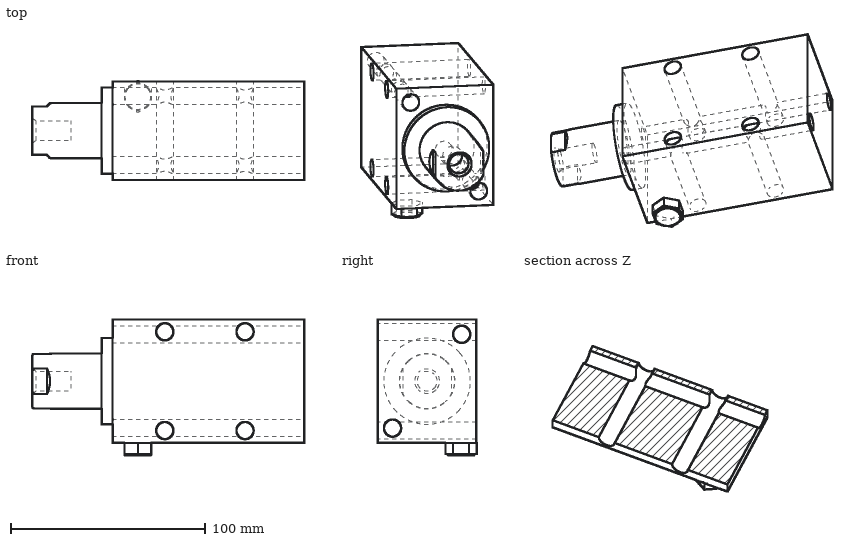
import cadquery as cq
import math

overall_length = 139.95

nose_length = 41.4
body_length = overall_length - nose_length
tip_x = -nose_length
body_width = 50.8
body_height = 63.5

flange_diameter = 44.45
flange_thickness = 5.75

rod_diameter = 28.575
tip_diameter = 28.2
tip_length = 9.0
shoulder_length = 0.9
tip_edge_radius = 1.0

flat_distance = 25.0
flat_length = 7.55

bore_diameter = 10.2
bore_depth = 20.0
mouth_diameter = 12.7
lip_depth = 0.6
cone_diameter = 12.2
cone_length = 1.3

mounting_hole_diameter = 8.73

cross_hole_first_x = 26.8
cross_hole_spacing_x = 41.275
cross_hole_spacing_z = 50.8

corner_hole_inset = 7.62

hex_across_flats = 14.0
plug_height = 6.53
plug_x = 12.95
plug_overhang = 0.14
plug_end_diameter = 13.1
cone_end_height = 0.8


def make_body():
    return cq.Workplane("XY").box(body_length, body_width, body_height, centered=(False, True, True))


def make_flange():
    return cq.Workplane("YZ").circle(flange_diameter / 2).extrude(-flange_thickness)


def make_rod():
    rod_radius = rod_diameter / 2
    tip_radius = tip_diameter / 2
    shoulder_x = tip_x + tip_length
    rod = (
        cq.Workplane("XZ")
        .moveTo(tip_x, 0)
        .lineTo(tip_x, tip_radius - tip_edge_radius)
        .radiusArc((tip_x + tip_edge_radius, tip_radius), tip_edge_radius)
        .lineTo(shoulder_x, tip_radius)
        .lineTo(shoulder_x + shoulder_length, rod_radius)
        .lineTo(0, rod_radius)
        .lineTo(0, 0)
        .close()
        .revolve(360, (0, 0, 0), (1, 0, 0))
    )
    for side in (1, -1):
        rod = rod.cut(make_flat_cutter(side))
    return rod.cut(make_bore())


def make_flat_cutter(side):
    inner_y = flat_distance / 2
    outer_y = rod_diameter / 2
    end_x = tip_x + flat_length
    profile = [
        (tip_x, side * inner_y),
        (end_x, side * inner_y),
        (end_x + outer_y - inner_y, side * outer_y),
        (tip_x, side * outer_y),
    ]
    return cq.Workplane("XY").polyline(profile).close().extrude(rod_diameter / 2, both=True)


def make_bore():
    bore_radius = bore_diameter / 2
    return (
        cq.Workplane("XZ")
        .moveTo(tip_x, 0)
        .lineTo(tip_x, mouth_diameter / 2)
        .lineTo(tip_x + lip_depth, cone_diameter / 2)
        .lineTo(tip_x + lip_depth + cone_length, bore_radius)
        .lineTo(tip_x + bore_depth, bore_radius)
        .lineTo(tip_x + bore_depth, 0)
        .close()
        .revolve(360, (0, 0, 0), (1, 0, 0))
    )


def make_cross_holes():
    centre_x = cross_hole_first_x + cross_hole_spacing_x / 2
    return (
        cq.Workplane("XZ")
        .center(centre_x, 0)
        .rarray(cross_hole_spacing_x, cross_hole_spacing_z, 2, 2)
        .circle(mounting_hole_diameter / 2)
        .extrude(body_width, both=True)
    )


def make_corner_holes():
    y = body_width / 2 - corner_hole_inset
    z = body_height / 2 - corner_hole_inset
    return (
        cq.Workplane("YZ")
        .pushPoints([(y, z), (-y, -z)])
        .circle(mounting_hole_diameter / 2)
        .extrude(body_length)
    )


def make_hex_plug():
    corner_diameter = hex_across_flats / math.cos(math.radians(30))
    plug_y = body_width / 2 + plug_overhang - corner_diameter / 2
    hex_end_z = cone_end_height - plug_height
    prism = (
        cq.Workplane("XY")
        .polygon(6, corner_diameter)
        .extrude(hex_end_z)
        .rotate((0, 0, 0), (0, 0, 1), 90)
    )
    cone_end = (
        cq.Workplane("XY", origin=(0, 0, hex_end_z))
        .circle(hex_across_flats / 2)
        .workplane(offset=-cone_end_height)
        .circle(plug_end_diameter / 2)
        .loft()
    )
    return prism.union(cone_end).translate((plug_x, plug_y, -body_height / 2))


result = (
    make_body()
    .union(make_flange())
    .union(make_rod())
    .union(make_hex_plug())
    .cut(make_cross_holes())
    .cut(make_corner_holes())
)